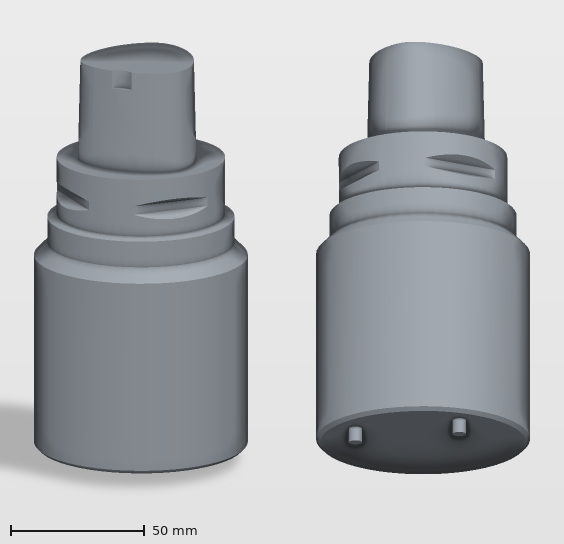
import cadquery as cq
import math

pin_length = 5.5
body_height = 74.1
cone_height = 5.0
collar_height = 11.0
flange_height = 22.0
shank_height = 38.1

body_radius = 40.0
collar_radius = 35.0
flange_diameter = 63.0
flange_radius = flange_diameter / 2
body_chamfer = 1.4
collar_top_rise = 1.1

shank_base_diameter = 44.4
shank_taper = 1 / 20
lobe_eccentricity = 1.5
flank_half_angle = 23
points_per_stretch = 7

notch_radius = 5.0
notch_center_y = -22.5
notch_depth = 6.7

slot_count = 4
slot_wall_distance = 27.7
slot_wall_height = 3.3
slot_flare_angle = 30
slot_drop = 12.0

pin_radius = 2.5
pin_x = 20.1
pin_y = 23.0

collar_bottom = body_height + cone_height
collar_top = collar_bottom + collar_height
flange_top = collar_top + flange_height


def make_turned_body():
    """Body, cone, collar and flange revolved about Z."""
    profile = [
        (0, 0),
        (body_radius - body_chamfer, 0),
        (body_radius, body_chamfer),
        (body_radius, body_height),
        (collar_radius, collar_bottom),
        (collar_radius, collar_top - collar_top_rise),
        (flange_radius, collar_top),
        (flange_radius, flange_top),
        (0, flange_top),
    ]
    return cq.Workplane("XZ").polyline(profile).close().revolve(360, (0, 0), (0, 1))


def lobe_point(diameter, angle, z):
    """Point of the lobed outline whose normal is at angle from the -Y axis."""
    reach = diameter / 2 - lobe_eccentricity * math.cos(3 * angle)
    slide = 3 * lobe_eccentricity * math.sin(3 * angle)
    x = reach * math.sin(angle) + slide * math.cos(angle)
    y = -reach * math.cos(angle) + slide * math.sin(angle)
    return cq.Vector(x, y, z)


def lobe_stretch(diameter, start_degrees, end_degrees, z):
    """Smooth edge of the lobed outline between two normal angles."""
    step = (end_degrees - start_degrees) / (points_per_stretch - 1)
    angles = [math.radians(start_degrees + i * step) for i in range(points_per_stretch)]
    points = [lobe_point(diameter, angle, z) for angle in angles]
    tangents = [cq.Vector(math.cos(a), math.sin(a), 0) for a in (angles[0], angles[-1])]
    return cq.Edge.makeSpline(points, tangents=tangents)


def lobe_wire(diameter, z):
    """Closed outline of three flanks and three corners."""
    edges = []
    for middle in (0, 120, 240):
        flank_start = middle - flank_half_angle
        flank_end = middle + flank_half_angle
        next_flank = flank_start + 120
        edges.append(lobe_stretch(diameter, flank_start, flank_end, z))
        edges.append(lobe_stretch(diameter, flank_end, next_flank, z))
    return cq.Wire.assembleEdges(edges)


def make_shank():
    """Tapered lobed shank with its rounded key notch."""
    shank_top = flange_top + shank_height
    top_diameter = shank_base_diameter - shank_taper * shank_height
    wires = [lobe_wire(shank_base_diameter, flange_top), lobe_wire(top_diameter, shank_top)]
    shank = cq.Workplane(cq.Solid.makeLoft(wires, True))
    notch = (
        cq.Workplane("XY", origin=(0, notch_center_y, shank_top - notch_depth))
        .circle(notch_radius)
        .extrude(notch_depth)
    )
    return shank.cut(notch)


def make_slot_cutter(direction):
    """Flared slot opening outward along the given direction in degrees."""
    half_wall = slot_wall_height / 2
    flare = (flange_radius - slot_wall_distance) * math.tan(math.radians(slot_flare_angle))
    section = [
        (slot_wall_distance, -half_wall),
        (flange_radius, -half_wall - flare),
        (flange_radius, half_wall + flare),
        (slot_wall_distance, half_wall),
    ]
    return (
        cq.Workplane("XZ", origin=(0, 0, flange_top - slot_drop))
        .polyline(section)
        .close()
        .extrude(flange_radius, both=True)
        .rotate((0, 0, 0), (0, 0, 1), direction)
    )


def make_pins():
    """Pair of pins hanging below the body."""
    return (
        cq.Workplane("XY")
        .pushPoints([(-pin_x, pin_y), (pin_x, pin_y)])
        .circle(pin_radius)
        .extrude(-pin_length)
    )


result = make_turned_body()
slot_spacing = 360 / slot_count
for slot_index in range(slot_count):
    result = result.cut(make_slot_cutter((slot_index + 0.5) * slot_spacing))
result = result.union(make_shank()).union(make_pins())